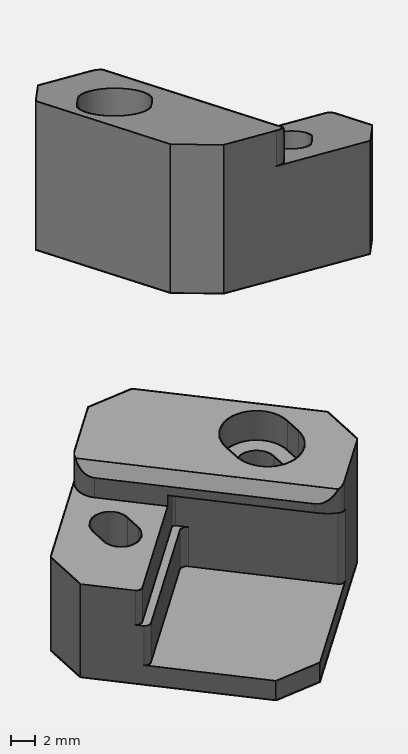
import cadquery as cq
import math

side = 22.0
height = 12.5
half = side / 2
corner_chamfer = 3.01

base_top = 2.0
ledge_top = 6.0
shelf_top = 9.5
ledge_x = 2.3
shelf_x = 3.01
block_corner_radius = 0.5

head_back = -0.26
head_corner_radius = 2.0
head_chamfer = 1.0
wall_back = -2.29
wall_corner_radius = 0.5
roof_outer_height = 10.6
roof_inner_height = 9.53
ledge_fillet = 0.57
shelf_fillet = 0.25

slot_radius = 1.65
counterbore_radius = 3.0
slot_travel = 1.56
slot_angle = -45
counterbore_depth = 3.0
near_offset = 3.48
far_offset = 6.55
wall_slot = (-near_offset, -far_offset)
shelf_slot = (far_offset, near_offset)


def octagon(top):
    plate = cq.Workplane("XY").rect(side, side).extrude(top)
    return plate.edges("|Z").chamfer(corner_chamfer)


def box(x0, x1, y0, y1, z0, z1):
    return cq.Workplane("XY").box(x1 - x0, y1 - y0, z1 - z0, centered=False).translate((x0, y0, z0))


def step_block(left, bottom, top, root_fillet):
    """Block right of `left`, rounded at the back and flared where it meets the lower wall."""
    block = box(left, half, wall_back, half, bottom, top)
    block = block.edges("|Z and <X and >Y").fillet(block_corner_radius)
    arc_inset = root_fillet * (1 - math.sqrt(0.5))
    flare = (
        cq.Workplane("XY", origin=(left, wall_back, bottom))
        .lineTo(0, root_fillet)
        .threePointArc((-arc_inset, arc_inset), (-root_fillet, 0))
        .close()
        .extrude(top - bottom)
    )
    return block.union(flare)


def lower_wall():
    wall = box(-half, half, -half, wall_back, 0, height)
    return wall.edges("|Z and <X and >Y").fillet(wall_corner_radius)


def head_column():
    """Full-height column with the head's rounded outline."""
    column = box(-half, half, -half, head_back, 0, height)
    return column.edges("|Z and >Y").fillet(head_corner_radius)


def overhanging_head():
    """Upper wall whose underside slopes down towards the lower wall."""
    slope = (roof_outer_height - roof_inner_height) / (head_back - wall_back)
    roof_front_height = roof_inner_height - slope * wall_corner_radius
    profile = (
        cq.Workplane("YZ", origin=(-half, 0, 0))
        .moveTo(wall_back - wall_corner_radius, roof_front_height)
        .lineTo(head_back, roof_outer_height)
        .lineTo(head_back, height - head_chamfer)
        .lineTo(head_back - head_chamfer, height)
        .lineTo(-half, height)
        .lineTo(-half, roof_front_height)
        .close()
        .extrude(side)
    )
    return head_column().intersect(profile)


def slot(center, radius, bottom):
    return (
        cq.Workplane("XY", origin=(*center, bottom))
        .slot2D(slot_travel + 2 * radius, 2 * radius, slot_angle)
        .extrude(height - bottom)
    )


under_head = box(shelf_x, half, wall_back, head_back, shelf_top, roof_outer_height)
under_head = under_head.intersect(head_column())

body = (
    octagon(base_top)
    .union(lower_wall())
    .union(step_block(ledge_x, base_top, ledge_top, ledge_fillet))
    .union(step_block(shelf_x, ledge_top, shelf_top, shelf_fillet))
    .union(under_head)
    .union(overhanging_head())
    .intersect(octagon(height))
)

result = (
    body.cut(slot(wall_slot, slot_radius, 0))
    .cut(slot(wall_slot, counterbore_radius, height - counterbore_depth))
    .cut(slot(shelf_slot, slot_radius, 0))
)